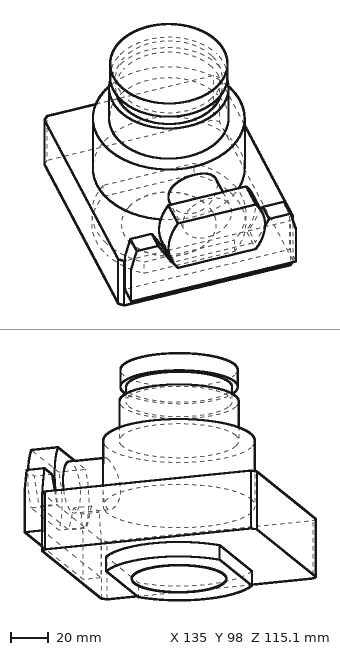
import cadquery as cq

block_length = 120.0
block_width = 98.0
block_height = 31.9
corner_chamfer = 2.4

turret_steps = [
    (80.0, 67.8),
    (63.0, 89.4),
    (56.0, 97.3),
    (62.0, 106.8),
]

foot_diameter = 81.3
foot_across_flats = 63.5
foot_height = 8.0
pad_diameter = 50.0
pad_height = 0.3

stem_diameter = 27.4
stem_axis_height = 48.2
head_diameter = 54.0
head_across_flats = 31.9
head_thickness = 15.0

bracket_thickness = 10.0
bracket_bottom = 11.5
bracket_shoulder = 34.7
bracket_top = 46.6
bracket_half_width = 46.2
bracket_top_half_width = 43.0
notch_top_half_width = 31.0
notch_bottom_half_width = 23.4
notch_bottom = stem_axis_height - head_across_flats / 2

side_face = block_length / 2


def cylinder(diameter, bottom, top):
    """Vertical cylinder on the turret axis."""
    return cq.Workplane("XY").workplane(offset=bottom).circle(diameter / 2).extrude(top - bottom)


def make_block():
    block = cq.Workplane("XY").box(block_length, block_width, block_height, centered=(True, True, False))
    return block.edges("|Z").chamfer(corner_chamfer)


def make_turret():
    turret = cq.Workplane("XY")
    bottom = block_height
    for diameter, top in turret_steps:
        turret = turret.add(cylinder(diameter, bottom, top))
        bottom = top
    return turret.combine()


def make_foot():
    flats = cq.Workplane("XY").box(foot_across_flats, foot_diameter, 2 * foot_height)
    foot = cylinder(foot_diameter, -foot_height, 0).intersect(flats)
    pad = cylinder(pad_diameter, -foot_height - pad_height, -foot_height)
    return foot.union(pad)


def make_stem_and_head():
    stem_plane = cq.Workplane("YZ", origin=(0, 0, stem_axis_height))
    stem = stem_plane.circle(stem_diameter / 2).extrude(side_face)
    head_plane = stem_plane.workplane(offset=side_face)
    head = head_plane.circle(head_diameter / 2).extrude(head_thickness)
    flats = head_plane.rect(head_diameter, head_across_flats).extrude(head_thickness)
    return stem.union(head.intersect(flats))


def make_bracket():
    right_side = [
        (bracket_half_width, bracket_bottom),
        (bracket_half_width, bracket_shoulder),
        (bracket_top_half_width, bracket_top),
        (notch_top_half_width, bracket_top),
        (notch_bottom_half_width, notch_bottom),
    ]
    left_side = [(-y, z) for y, z in reversed(right_side)]
    outline = cq.Workplane("YZ", origin=(side_face, 0, 0)).polyline(right_side + left_side).close()
    return outline.extrude(bracket_thickness)


result = (
    make_block()
    .union(make_turret())
    .union(make_foot())
    .union(make_stem_and_head())
    .union(make_bracket())
)